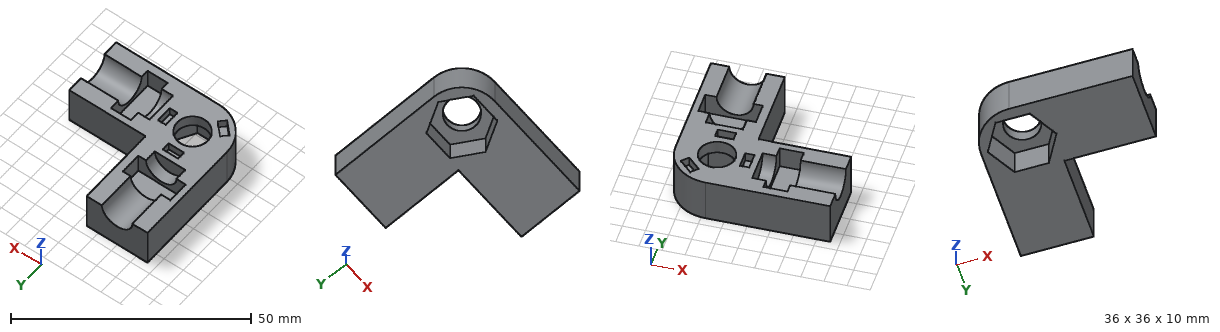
import cadquery as cq
import math

arm_length = 36.0
arm_width = 16.0
thickness = 10.0
corner_radius = 9.0

bolt_diameter = 8.0
nut_across_flats = 13.0
nut_corner_diameter = nut_across_flats / math.cos(math.pi / 6)
nut_roof = 3.0

rod_diameter = 8.0
rod_center = arm_width / 2
rod_length = 18.0

pocket_length = 5.22
pocket_width = 12.45
pocket_depth = 5.0
pocket_setback = 9.8
x_arm_pocket_center = 8.2
y_arm_pocket_center = 7.78

slot_length = 4.0
slot_width = 2.0
slot_depth = 2.0
slot_distance = 6.5
slot_angles = (0, 90, 225)


def make_body():
    """L-shaped plate with its outer corner rounded about the bolt axis."""
    outline = [
        (0, 0),
        (arm_length, 0),
        (arm_length, arm_width),
        (arm_width, arm_width),
        (arm_width, arm_length),
        (0, arm_length),
    ]
    plate = cq.Workplane("XY").polyline(outline).close().extrude(thickness)
    return plate.edges(cq.selectors.NearestToPointSelector((0, 0, thickness / 2))).fillet(corner_radius)


def make_bolt_cut():
    center = cq.Workplane("XY").center(corner_radius, corner_radius)
    hole = center.circle(bolt_diameter / 2).extrude(thickness)
    nut = center.polygon(6, nut_corner_diameter).extrude(thickness - nut_roof)
    return hole.union(nut)


def sunk_box(length, width, depth, x, y):
    """Box cut down from the top face, centred at x, y."""
    return cq.Workplane("XY").box(length, width, depth).translate((x, y, thickness - depth / 2))


def make_x_channel():
    start = arm_length - rod_length
    return cq.Workplane("YZ", origin=(start, rod_center, thickness)).circle(rod_diameter / 2).extrude(rod_length)


def make_y_channel():
    plane = cq.Workplane("XZ", origin=(rod_center, arm_length, thickness))
    return plane.circle(rod_diameter / 2).extrude(rod_length)


def make_slot(angle):
    slot = sunk_box(slot_width, slot_length, slot_depth, slot_distance, 0)
    return slot.rotate((0, 0, 0), (0, 0, 1), angle).translate((corner_radius, corner_radius, 0))


pocket_position = arm_length - pocket_setback - pocket_length / 2

result = make_body().cut(make_bolt_cut())
result = result.cut(make_x_channel()).cut(make_y_channel())
result = result.cut(sunk_box(pocket_length, pocket_width, pocket_depth, pocket_position, x_arm_pocket_center))
result = result.cut(sunk_box(pocket_width, pocket_length, pocket_depth, y_arm_pocket_center, pocket_position))
for slot_angle in slot_angles:
    result = result.cut(make_slot(slot_angle))